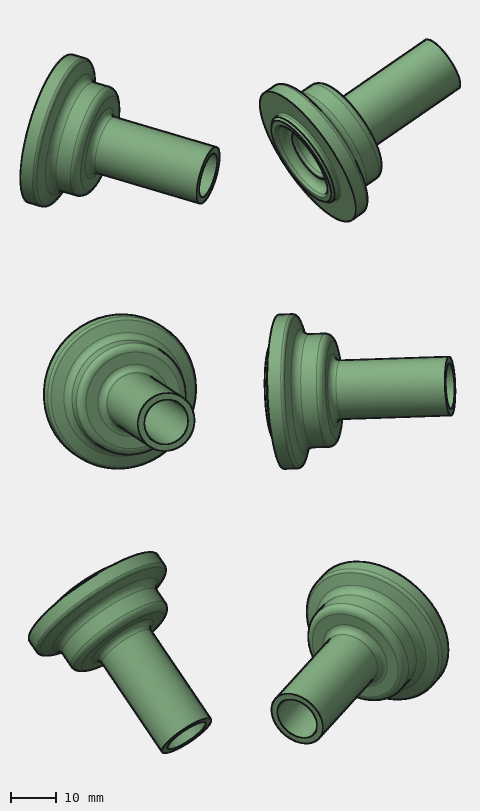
import cadquery as cq
import math

total_length = 39.5
flange_front = 1.85
cone_foot = 7.0
collar_end = 13.6

flange_radius = 34.0 / 2
collar_radius = 25.0 / 2
pilot_radius = 22.3 / 2
stem_radius = 13.0 / 2
bore_radius = 10.0 / 2

cone_angle = 20
pilot_chamfer = 0.55
pilot_fillet = 0.35
flange_fillet = 0.83
cone_fillet = 2.0
collar_fillet = 1.7
stem_fillet = 1.58

recess_radius = 8.93
recess_lip_fillet = 0.55
hub_radius = 6.2
hub_fillet = 0.3
bore_fillet = 0.67
recess_arc_radius = 2.0

recess_centre_radius = recess_radius - recess_arc_radius
recess_end = recess_lip_fillet + math.sqrt(recess_arc_radius**2 - (hub_radius - recess_centre_radius) ** 2)
hub_front = recess_end - hub_fillet

cone_top = cone_foot - (flange_radius - collar_radius) * math.tan(math.radians(cone_angle))


def ring_edge(solid, x, radius):
    """Select the circular edge of the given radius lying in the plane at x."""
    tolerance = 0.008
    low = (x - tolerance, -radius - tolerance, -radius - tolerance)
    high = (x + tolerance, radius + tolerance, radius + tolerance)
    rings = solid.edges(cq.selectors.BoxSelector(low, high, boundingbox=True))
    return rings.edges("%CIRCLE").filter(lambda edge: abs(edge.radius() - radius) < tolerance)


def make_body():
    """Revolve the outside: pilot, flange with conical back, collar and stem."""
    outline = (
        cq.Workplane("XY")
        .moveTo(0, 0)
        .lineTo(0, pilot_radius)
        .lineTo(flange_front, pilot_radius)
        .lineTo(flange_front, flange_radius)
        .lineTo(cone_top, flange_radius)
        .lineTo(cone_foot, collar_radius)
        .lineTo(collar_end, collar_radius)
        .lineTo(collar_end, stem_radius)
        .lineTo(total_length, stem_radius)
        .lineTo(total_length, 0)
        .close()
    )
    body = outline.revolve(360, (0, 0, 0), (1, 0, 0))
    body = ring_edge(body, 0, pilot_radius).chamfer(pilot_chamfer)
    for x, radius, fillet in (
        (flange_front, pilot_radius, pilot_fillet),
        (cone_top, flange_radius, flange_fillet),
        (cone_foot, collar_radius, cone_fillet),
        (collar_end, collar_radius, collar_fillet),
        (collar_end, stem_radius, stem_fillet),
    ):
        body = ring_edge(body, x, radius).fillet(fillet)
    return body


def make_cavity():
    """Revolve the removed inside: rounded recess, hub face and through bore."""
    bend = math.sqrt(0.5)

    def round_over(sketch, centre_x, centre_r, radius, side, end):
        """Add a convex quarter round; side is +1 outside its centre and -1 inside."""
        middle = (centre_x - radius * bend, centre_r + side * radius * bend)
        return sketch.threePointArc(middle, end)

    recess_middle = (
        recess_lip_fillet + recess_arc_radius * bend,
        recess_centre_radius + recess_arc_radius * bend,
    )
    outline = cq.Workplane("XY").moveTo(0, 0).lineTo(0, recess_radius + recess_lip_fillet)
    outline = round_over(
        outline, recess_lip_fillet, recess_radius + recess_lip_fillet, recess_lip_fillet, -1,
        (recess_lip_fillet, recess_radius),
    )
    outline = outline.threePointArc(recess_middle, (recess_end, hub_radius))
    outline = round_over(
        outline, recess_end, hub_radius - hub_fillet, hub_fillet, 1,
        (hub_front, hub_radius - hub_fillet),
    )
    outline = outline.lineTo(hub_front, bore_radius + bore_fillet)
    outline = round_over(
        outline, hub_front + bore_fillet, bore_radius + bore_fillet, bore_fillet, -1,
        (hub_front + bore_fillet, bore_radius),
    )
    outline = outline.lineTo(total_length, bore_radius).lineTo(total_length, 0).close()
    return outline.revolve(360, (0, 0, 0), (1, 0, 0))


result = make_body().cut(make_cavity())